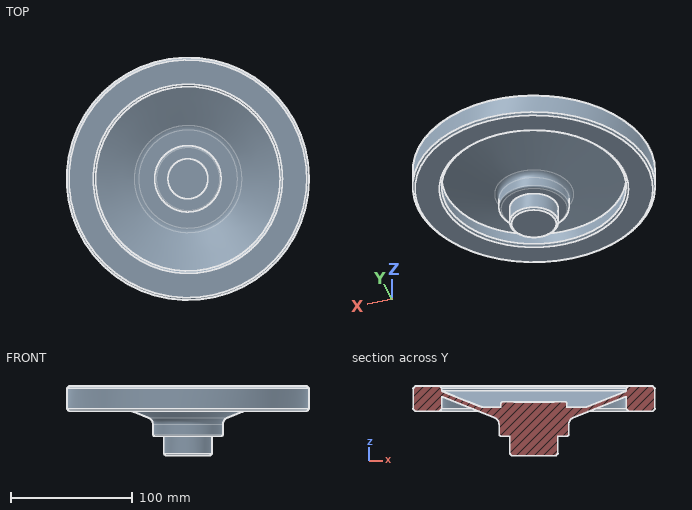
import cadquery as cq
import math

rim_radius = 100.0
rim_bore_radius = 76.0
rim_height = 21.0
rim_chamfer = 2.0

web_top_depth = 4.2
web_bottom_depth = 9.0
web_slope = 0.4
floor_depth = 17.5
floor_blend_radius = 10.0

boss_radius = 27.5
boss_depth = 13.0
boss_edge_radius = 1.5
collar_radius = 58.0 / 2
collar_bottom_depth = 41.5
collar_edge_radius = 1.8
collar_blend_radius = 5.5

shaft_radius = 20.0
shaft_chamfer = 1.5
total_height = 57.5

recess_radius = 33.0 / 2
recess_depth = 0.2


def cylinder(radius, top_depth, bottom_depth):
    """Upright cylinder on the wheel axis between two depths."""
    height = bottom_depth - top_depth
    return cq.Workplane("XY").workplane(offset=-bottom_depth).circle(radius).extrude(height)


def make_rim():
    outer = cylinder(rim_radius, 0, rim_height)
    bore = cylinder(rim_bore_radius, 0, rim_height)
    return outer.cut(bore).faces("|Z").edges().chamfer(rim_chamfer)


def cone_radius(bore_depth, depth):
    """Radius at which a web face, starting from the bore, reaches a depth."""
    return rim_bore_radius - (depth - bore_depth) / web_slope


def blend_points(corner_radius, corner_depth, blend_radius, turn_start, turn_end):
    """Tangent points and arc middle for a blend from the cone into another line.

    The angles give the downward tilt of the inward path before and after the corner.
    """
    half_turn = (turn_end - turn_start) / 2
    setback = blend_radius * math.tan(abs(half_turn))
    start = (
        corner_radius + setback * math.cos(turn_start),
        -corner_depth + setback * math.sin(turn_start),
    )
    end = (
        corner_radius - setback * math.cos(turn_end),
        -corner_depth - setback * math.sin(turn_end),
    )
    side = math.copysign(1, half_turn)
    middle_tilt = turn_start + half_turn
    center = (
        start[0] + side * blend_radius * math.sin(turn_start),
        start[1] - side * blend_radius * math.cos(turn_start),
    )
    middle = (
        center[0] - side * blend_radius * math.sin(middle_tilt),
        center[1] + side * blend_radius * math.cos(middle_tilt),
    )
    return start, middle, end


def make_web_and_collar():
    cone_tilt = math.atan(web_slope)
    floor_radius = cone_radius(web_top_depth, floor_depth)
    floor_start, floor_middle, floor_end = blend_points(
        floor_radius, floor_depth, floor_blend_radius, cone_tilt, 0
    )
    collar_top_depth = web_bottom_depth + (rim_bore_radius - collar_radius) * web_slope
    collar_start, collar_middle, collar_end = blend_points(
        collar_radius, collar_top_depth, collar_blend_radius, cone_tilt, math.pi / 2
    )
    overlap = 2.0
    profile = (
        cq.Workplane("XZ")
        .moveTo(0, -floor_depth)
        .lineTo(*floor_end)
        .threePointArc(floor_middle, floor_start)
        .lineTo(rim_bore_radius, -web_top_depth)
        .lineTo(rim_bore_radius + overlap, -web_top_depth)
        .lineTo(rim_bore_radius + overlap, -web_bottom_depth)
        .lineTo(rim_bore_radius, -web_bottom_depth)
        .lineTo(*collar_start)
        .threePointArc(collar_middle, collar_end)
        .lineTo(collar_radius, -collar_bottom_depth)
        .lineTo(0, -collar_bottom_depth)
        .close()
    )
    body = profile.revolve(360, (0, 0, 0), (0, 1, 0))
    return body.faces("<Z").edges().fillet(collar_edge_radius)


def make_boss():
    boss = cylinder(boss_radius, boss_depth, floor_depth)
    return boss.faces(">Z").edges().fillet(boss_edge_radius)


def make_shaft():
    shaft = cylinder(shaft_radius, collar_bottom_depth, total_height)
    return shaft.faces("<Z").edges().chamfer(shaft_chamfer)


wheel = make_rim().union(make_web_and_collar()).union(make_boss()).union(make_shaft())
result = wheel.cut(cylinder(recess_radius, boss_depth, boss_depth + recess_depth))